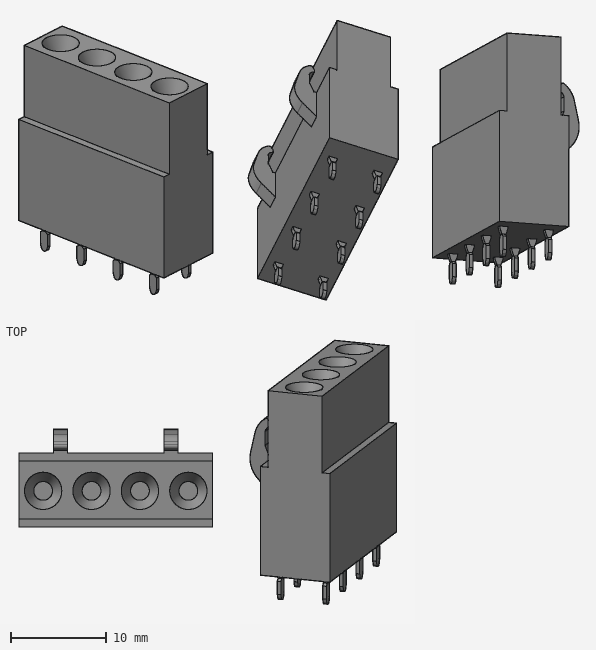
import cadquery as cq


pole_count = 4
housing_width = 20.33
housing_height = 20.25
lower_depth = 7.79
lower_height = 11.9
upper_depth = 6.05

entry_center_y = -0.1
entry_top_diameter = 3.92
entry_floor_diameter = 1.97
entry_depth = 2.2

hook_width = 1.48
hook_spacing = 11.6

hook_foot = (0, -4.08)
hook_ramp_end = (1.6, -2.49)
hook_spine_start = (2.42, 0.38)
hook_spine_end = (1.95, 2.49)
hook_shoulder_end = (1.2, 3.85)
hook_nose_start = (0.87, 4.15)
hook_nose_end = (0.42, 4.08)
hook_lip_top = (0.23, 3.6)
hook_lip_bottom = (0.23, 3.38)
hook_throat_middle = (0.63, 3.1)
hook_throat_end = (0.8, 2.77)
hook_inside_bottom = (0.8, 1.25)
hook_ledge_outer = (0.3, 0)

overall_height = 23.45
pin_length = overall_height - housing_height
pin_thickness = 0.42
neck_width = 0.5
neck_root_depth = 0.95
neck_middle_depth = 0.75
neck_height = 0.85
blade_width = 1.0
shoulder_height = 0.25
taper_start = 2.5
tip_round_start = 2.95
tip_width = 0.7

pitch = housing_width / pole_count
pole_xs = [(i - (pole_count - 1) / 2) * pitch for i in range(pole_count)]
pin_row_ys = [-pitch / 2, pitch / 2]
hook_xs = [-hook_spacing / 2, hook_spacing / 2]


def make_block(depth, height):
    """Full-width block standing on the underside plane."""
    return cq.Workplane("XY").box(housing_width, depth, height, centered=(True, True, False))


def make_hook(center_x):
    """Curved latching hook standing on the back face of the lower block."""
    outline = (
        cq.Workplane("YZ", origin=(center_x - hook_width / 2, lower_depth / 2, lower_height))
        .moveTo(*hook_foot)
        .lineTo(*hook_ramp_end)
        .tangentArcPoint(hook_spine_start, relative=False)
        .lineTo(*hook_spine_end)
        .tangentArcPoint(hook_shoulder_end, relative=False)
        .lineTo(*hook_nose_start)
        .tangentArcPoint(hook_nose_end, relative=False)
        .lineTo(*hook_lip_top)
        .lineTo(*hook_lip_bottom)
        .threePointArc(hook_throat_middle, hook_throat_end)
        .lineTo(*hook_inside_bottom)
        .lineTo(*hook_ledge_outer)
        .lineTo(0, 0)
        .close()
    )
    return outline.extrude(hook_width)


def make_entry(center_x):
    """Tapered wire entry with a flat floor, as a cutting shape."""
    return (
        cq.Workplane("XY", origin=(center_x, entry_center_y, housing_height))
        .circle(entry_top_diameter / 2)
        .workplane(offset=-entry_depth)
        .circle(entry_floor_diameter / 2)
        .loft()
    )


def make_housing():
    """Stepped block with hooks on its back and wire entries in its top."""
    body = make_block(lower_depth, lower_height)
    body = body.union(make_block(upper_depth, housing_height))
    for hook_x in hook_xs:
        body = body.union(make_hook(hook_x))
    for pole_x in pole_xs:
        body = body.cut(make_entry(pole_x))
    return body


def make_pin_neck(center_x, center_y):
    """Upper part of a pin, narrowing in Y with slightly bulging sides."""
    half_root = neck_root_depth / 2
    half_middle = neck_middle_depth / 2
    half_thickness = pin_thickness / 2
    return (
        cq.Workplane("YZ", origin=(center_x, center_y, 0))
        .moveTo(-half_root, 0)
        .lineTo(half_root, 0)
        .threePointArc((half_middle, -neck_height / 2), (half_thickness, -neck_height))
        .lineTo(-half_thickness, -neck_height)
        .threePointArc((-half_middle, -neck_height / 2), (-half_root, 0))
        .close()
        .extrude(neck_width / 2, both=True)
    )


def make_pin_blade(center_x, center_y):
    """Flat lower part of a pin with sloping shoulders, a short taper and a rounded tip."""
    half_neck = neck_width / 2
    half_blade = blade_width / 2
    half_tip = tip_width / 2
    shoulder_bottom = neck_height + shoulder_height
    return (
        cq.Workplane("XZ", origin=(center_x, center_y, 0))
        .moveTo(-half_neck, -neck_height)
        .lineTo(half_neck, -neck_height)
        .lineTo(half_blade, -shoulder_bottom)
        .lineTo(half_blade, -taper_start)
        .lineTo(half_tip, -tip_round_start)
        .threePointArc((0, -pin_length), (-half_tip, -tip_round_start))
        .lineTo(-half_blade, -taper_start)
        .lineTo(-half_blade, -shoulder_bottom)
        .close()
        .extrude(pin_thickness / 2, both=True)
    )


def make_pin(center_x, center_y):
    """One solder pin, hanging from the underside of the housing."""
    return make_pin_neck(center_x, center_y).union(make_pin_blade(center_x, center_y))


housing = make_housing()
pins = [make_pin(pole_x, row_y) for row_y in pin_row_ys for pole_x in pole_xs]

result = cq.Compound.makeCompound([housing.solids().val(), *[pin.solids().val() for pin in pins]])